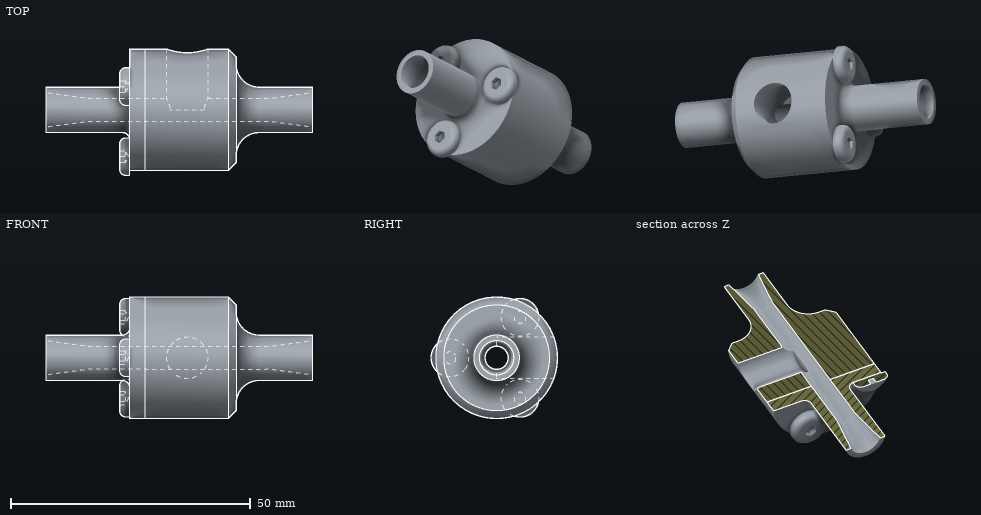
import cadquery as cq
import math

overall_length = 55.65
cap_face_x = 17.45
joint_x = 20.65
chamfer_length = 1.65
housing_end_x = 39.7
outlet_fillet_end_x = 44.5

housing_diameter = 25.4
tube_diameter = 9.5
mouth_diameter = 7.2
through_bore_diameter = 4.8
cap_fillet_diameter = 12.6

taper_length = 8.9

port_diameter = 8.6
port_x = 29.5

screw_count = 3
overall_width = 26.4
head_diameter = 7.9
head_flat_diameter = 5.35
head_height = 2.1
head_rim_height = 0.7
socket_sides = 6
socket_across_flats = 2.4
socket_depth = 1.1
socket_floor_slope = math.radians(30)

housing_radius = housing_diameter / 2
tube_radius = tube_diameter / 2
mouth_radius = mouth_diameter / 2
through_bore_radius = through_bore_diameter / 2
screw_circle_radius = overall_width - housing_radius - head_diameter / 2
arc_midpoint = math.sqrt(0.5)


def revolve_about_x(profile):
    """Revolve an (x, radius) outline about the X axis."""
    return profile.close().revolve(360, (0, 0, 0), (1, 0, 0))


def make_cap():
    """Inlet flange with its tube, root fillet and tapered bore."""
    fillet_radius = (cap_fillet_diameter - tube_diameter) / 2
    fillet_start_x = cap_face_x - fillet_radius
    fillet_outer_radius = tube_radius + fillet_radius
    profile = (
        cq.Workplane("XY")
        .moveTo(0, mouth_radius)
        .lineTo(0, tube_radius)
        .lineTo(fillet_start_x, tube_radius)
        .threePointArc(
            (
                fillet_start_x + fillet_radius * arc_midpoint,
                fillet_outer_radius - fillet_radius * arc_midpoint,
            ),
            (cap_face_x, fillet_outer_radius),
        )
        .lineTo(cap_face_x, housing_radius)
        .lineTo(joint_x, housing_radius)
        .lineTo(joint_x, through_bore_radius)
        .lineTo(taper_length, through_bore_radius)
    )
    return revolve_about_x(profile)


def make_housing():
    """Chamfered cylinder flowing into the outlet tube, with a tapered bore and a radial port."""
    fillet_radius = outlet_fillet_end_x - housing_end_x
    fillet_outer_radius = tube_radius + fillet_radius
    profile = (
        cq.Workplane("XY")
        .moveTo(joint_x, through_bore_radius)
        .lineTo(joint_x, housing_radius)
        .lineTo(housing_end_x - chamfer_length, housing_radius)
        .lineTo(housing_end_x, housing_radius - chamfer_length)
        .lineTo(housing_end_x, fillet_outer_radius)
        .threePointArc(
            (
                outlet_fillet_end_x - fillet_radius * arc_midpoint,
                fillet_outer_radius - fillet_radius * arc_midpoint,
            ),
            (outlet_fillet_end_x, tube_radius),
        )
        .lineTo(overall_length, tube_radius)
        .lineTo(overall_length, mouth_radius)
        .lineTo(overall_length - taper_length, through_bore_radius)
    )
    port = (
        cq.Workplane("XZ", origin=(port_x, 0, 0))
        .circle(port_diameter / 2)
        .extrude(-housing_diameter)
    )
    return revolve_about_x(profile).cut(port)


def make_screw(angle):
    """Button head resting on the cap face, with a hexagonal socket ending in a point."""
    head_radius = head_diameter / 2
    flat_radius = head_flat_diameter / 2
    rim_x = cap_face_x - head_rim_height
    top_x = cap_face_x - head_height
    round_width = head_radius - flat_radius
    round_height = head_height - head_rim_height
    profile = (
        cq.Workplane("XY")
        .moveTo(cap_face_x, 0)
        .lineTo(cap_face_x, head_radius)
        .lineTo(rim_x, head_radius)
        .threePointArc(
            (rim_x - round_height * arc_midpoint, flat_radius + round_width * arc_midpoint),
            (top_x, flat_radius),
        )
        .lineTo(top_x, 0)
    )
    socket_corner_radius = socket_across_flats / 2 / math.cos(math.pi / socket_sides)
    socket_floor_x = top_x + socket_depth
    socket_tip_x = socket_floor_x + socket_corner_radius * math.tan(socket_floor_slope)
    pointed_pocket = revolve_about_x(
        cq.Workplane("XY")
        .moveTo(top_x, 0)
        .lineTo(top_x, socket_corner_radius)
        .lineTo(socket_floor_x, socket_corner_radius)
        .lineTo(socket_tip_x, 0)
    )
    hexagon = (
        cq.Workplane("YZ", origin=(top_x, 0, 0))
        .transformed(rotate=(0, 0, 90))
        .polygon(socket_sides, 2 * socket_corner_radius)
        .extrude(socket_tip_x - top_x)
    )
    socket = hexagon.intersect(pointed_pocket)
    screw = revolve_about_x(profile).cut(socket)
    center_y = screw_circle_radius * math.cos(angle)
    center_z = screw_circle_radius * math.sin(angle)
    return screw.translate((0, center_y, center_z))


cap = make_cap()
housing = make_housing()
screws = [make_screw(math.pi + 2 * math.pi * index / screw_count) for index in range(screw_count)]

result = cq.Compound.makeCompound([cap.val(), housing.val(), *[screw.val() for screw in screws]])